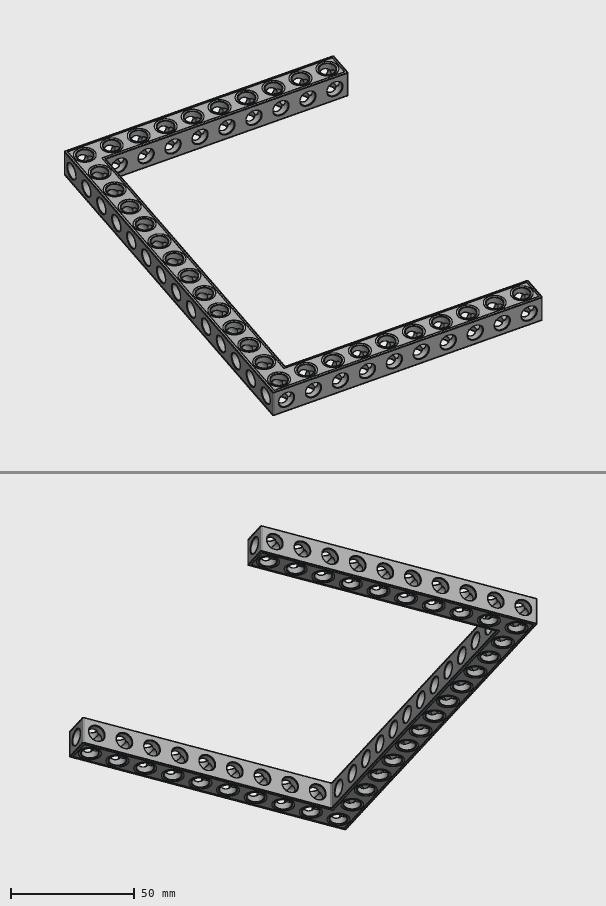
import cadquery as cq

length = 175.0
columns = 14
rows = 10
pitch = length / columns
depth = rows * pitch
mid_height = pitch / 2

hole_radius = 7.0 / 2
recess_radius = 9.3 / 2

narrow_step = 0.28
wide_step = recess_radius - hole_radius
step_height = 0.14
stepped_height = 2 * step_height

side_hole_chamfer = 0.28
corner_radius = 0.5


def cell_center(index):
    return (index + 0.5) * pitch


def u_slab(inset, bottom, height):
    """U-shaped slab, drawn in from the full outline by the given inset."""
    outline = [
        (inset, inset),
        (length - inset, inset),
        (length - inset, depth - inset),
        (length - pitch + inset, depth - inset),
        (length - pitch + inset, pitch - inset),
        (pitch - inset, pitch - inset),
        (pitch - inset, depth - inset),
        (inset, depth - inset),
    ]
    base = cq.Workplane("XY", origin=(0, 0, bottom))
    return base.polyline(outline).close().extrude(height)


def make_frame():
    """Full-width core with rounded corners between the stepped rims."""
    core = u_slab(0, stepped_height, pitch - 2 * stepped_height)
    core = core.edges("|Z").fillet(corner_radius)
    middle = u_slab(narrow_step, step_height, pitch - 2 * step_height)
    full_height = u_slab(wide_step, 0, pitch)
    return core.union(middle).union(full_height)


def bore(start, direction, span):
    """Plain cylinder running the given span from start."""
    return cq.Solid.makeCylinder(hole_radius, span, cq.Vector(*start), cq.Vector(*direction))


def stepped_hole(x, y):
    """Vertical through hole whose two mouths mirror the stepped rim."""
    up = (0, 0, 1)
    tools = [bore((x, y, 0), up, pitch)]
    for radius, step_depth in (
        (recess_radius, step_height),
        (hole_radius + narrow_step, stepped_height),
    ):
        for bottom in (0, pitch - step_depth):
            mouth = cq.Vector(x, y, bottom)
            tools.append(cq.Solid.makeCylinder(radius, step_depth, mouth, cq.Vector(*up)))
    return tools


def mouth_chamfer(mouth, inward):
    """Cone that breaks the edge of a side hole on one exposed face."""
    return cq.Solid.makeCone(
        hole_radius + side_hole_chamfer,
        hole_radius,
        side_hole_chamfer,
        cq.Vector(*mouth),
        cq.Vector(*inward),
    )


def vertical_holes():
    tools = []
    for column in range(columns):
        tools += stepped_hole(cell_center(column), cell_center(0))
    for column in (0, columns - 1):
        for row in range(1, rows):
            tools += stepped_hole(cell_center(column), cell_center(row))
    return tools


def holes_along_y():
    """Holes across the bar; the two end ones run the whole length of the legs."""
    tools = []
    for column in range(columns):
        x = cell_center(column)
        back = depth if column in (0, columns - 1) else pitch
        tools.append(bore((x, 0, mid_height), (0, 1, 0), back))
        tools.append(mouth_chamfer((x, 0, mid_height), (0, 1, 0)))
        tools.append(mouth_chamfer((x, back, mid_height), (0, -1, 0)))
    return tools


def holes_along_x():
    """Holes across both legs; the first one runs the whole length of the bar."""
    tools = []
    for row in range(rows):
        y = cell_center(row)
        spans = [(0, length)] if row == 0 else [(0, pitch), (length - pitch, length)]
        for left, right in spans:
            tools.append(bore((left, y, mid_height), (1, 0, 0), right - left))
            tools.append(mouth_chamfer((left, y, mid_height), (1, 0, 0)))
            tools.append(mouth_chamfer((right, y, mid_height), (-1, 0, 0)))
    return tools


frame = make_frame().val()
for tools in (vertical_holes(), holes_along_y(), holes_along_x()):
    frame = frame.cut(*tools)

result = cq.Workplane(frame.Solids()[0])